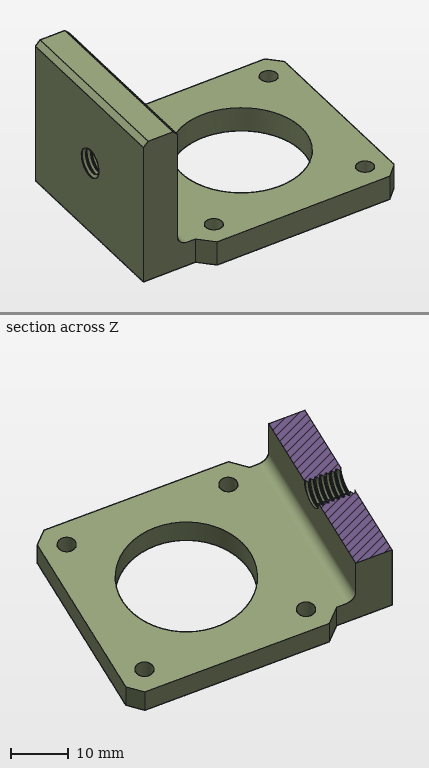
import cadquery as cq
import math

plate_width = 40.25
plate_thickness = 5.0
overall_length = 51.25
back_corner_chamfer = 2.45
shoulder_start = 37.85

wall_width = 34.8
wall_thickness = 7.0
wall_height = 30.0
wall_top_chamfer = 0.95
inner_fillet_radius = 2.0

bore_diameter = 24.6
screw_diameter = 3.3
screw_spacing = 31.0

thread_minor_diameter = 5.0
thread_major_diameter = 6.15
thread_turns = 7
thread_pitch = wall_thickness / thread_turns
groove_width_ratio = 0.85
root_flat = 0.2
thread_overlap = 0.15
thread_phase = 35

back_y = plate_width / 2
front_y = back_y - overall_length
wall_inner_y = front_y + wall_thickness


def make_plate():
    half_width = plate_width / 2
    half_neck = wall_width / 2
    shoulder_y = back_y - shoulder_start
    neck_y = shoulder_y - (half_width - half_neck)
    right_side = [
        (half_width - back_corner_chamfer, back_y),
        (half_width, back_y - back_corner_chamfer),
        (half_width, shoulder_y),
        (half_neck, neck_y),
        (half_neck, front_y),
    ]
    left_side = [(-x, y) for x, y in reversed(right_side)]
    return cq.Workplane("XY").polyline(right_side + left_side).close().extrude(plate_thickness)


def make_wall():
    wall = (
        cq.Workplane("XY")
        .box(wall_width, wall_thickness, wall_height, centered=(True, False, False))
        .faces(">Z").edges("|X").chamfer(wall_top_chamfer)
    )
    return wall.translate((0, front_y, 0))


def make_inner_fillet():
    r = inner_fillet_radius
    mid = r * (1 - math.sqrt(0.5))
    return (
        cq.Workplane("YZ", origin=(-wall_width / 2, wall_inner_y, plate_thickness))
        .lineTo(r, 0)
        .threePointArc((mid, mid), (0, r))
        .close()
        .extrude(wall_width)
    )


def make_thread_cutter():
    """Core drill plus a helical groove with a flat root, built along Z and laid along Y."""
    minor_radius = thread_minor_diameter / 2
    root_radius = thread_major_diameter / 2
    length = wall_thickness + 2 * thread_pitch
    half_flat = root_flat / 2
    flank_slope = (thread_pitch * groove_width_ratio / 2 - half_flat) / (root_radius - minor_radius)
    inner_radius = minor_radius - thread_overlap
    half_base = half_flat + flank_slope * (root_radius - inner_radius)
    profile = [
        (inner_radius, -half_base),
        (root_radius, -half_flat),
        (root_radius, half_flat),
        (inner_radius, half_base),
    ]
    helix = cq.Wire.makeHelix(thread_pitch, length, minor_radius)
    groove = (
        cq.Workplane("XZ")
        .polyline(profile)
        .close()
        .sweep(cq.Workplane(helix), isFrenet=True)
    )
    groove = groove.rotate((0, 0, 0), (0, 0, 1), thread_phase)
    core = cq.Workplane("XY").circle(minor_radius).extrude(length)
    return [
        tool.rotate((0, 0, 0), (1, 0, 0), -90).translate((0, front_y - thread_pitch, wall_height / 2))
        for tool in (core, groove)
    ]


result = make_plate().union(make_wall()).union(make_inner_fillet())

bore = cq.Workplane("XY").circle(bore_diameter / 2).extrude(plate_thickness)
screw_holes = (
    cq.Workplane("XY")
    .rect(screw_spacing, screw_spacing, forConstruction=True)
    .vertices()
    .circle(screw_diameter / 2)
    .extrude(plate_thickness)
)
result = result.cut(bore).cut(screw_holes)

for cutter in make_thread_cutter():
    result = result.cut(cutter)
result = result.solids()